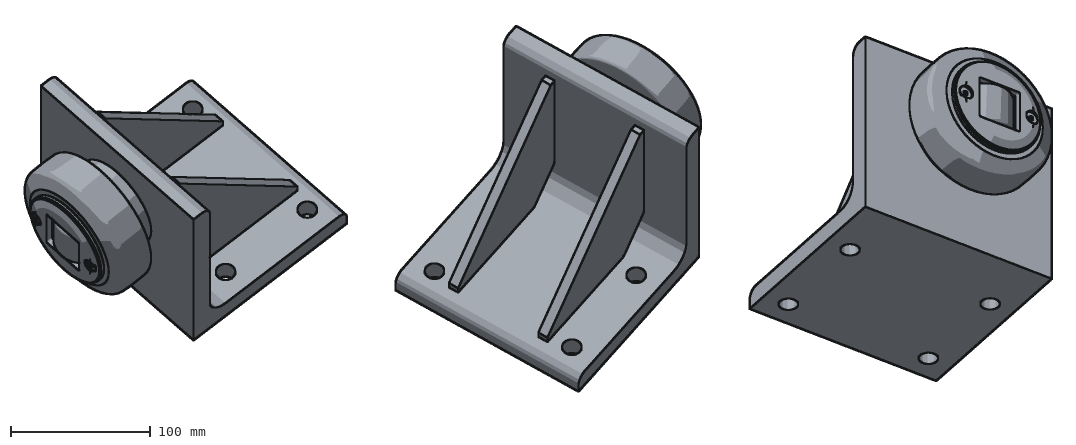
import cadquery as cq
import math

bracket_width = 160.0
leg_length = 150.0
leg_thickness = 16.0
inner_radius = leg_thickness
toe_radius = leg_thickness / 2

bolt_hole_diameter = 14.0
bolt_spacing_x = 120.0
bolt_spacing_y = 80.0
bolt_first_y = 50.0

rib_thickness = 8.0
rib_gap = 70.0
rib_reach = 136.0
rib_edge_height = 5.0
rib_corner_cut = 25.5

axis_height = 90.0
hub_diameter = 71.5
hub_neck_diameter = 70.5
hub_neck_depth = 14.5
wheel_diameter = 108.2
wheel_back = 15.4
wheel_back_round = 2.7
wheel_crown = 0.5
wheel_shoulder = 38.5
taper_start_depth = 42.8
taper_start_diameter = 101.9
wheel_front = 46.7
wheel_front_diameter = 82.5
cap_diameter = 74.0
cap_groove_diameter = 71.0
cap_back = 47.3
cap_rim_front = 50.0
cap_shoulder = 51.2
cap_shoulder_diameter = 72.1
cap_front = 53.3
cap_front_diameter = 59.5

total_depth = 205 - leg_length
window_size = 34.5
window_corner_radius = 1.2
window_depth = 5.5
roller_diameter = 41.0
roller_length = 33.2
roller_round = 2.9

screw_spacing = 56.4
screw_recess_diameter = 10.5
screw_recess_depth = 1.6
screw_socket_diameter = 3.3
screw_socket_depth = 2.0

overlap = 2.0


def make_bracket():
    """L section with rounded toes and a rounded inner corner."""
    section = (
        cq.Workplane("YZ")
        .polyline([
            (0, 0),
            (leg_length, 0),
            (leg_length, leg_thickness),
            (leg_thickness, leg_thickness),
            (leg_thickness, leg_length),
            (0, leg_length),
        ])
        .close()
        .extrude(bracket_width / 2, both=True)
    )
    span = bracket_width
    near = 0.2

    def edge_at(y, z):
        return cq.selectors.BoxSelector(
            (-span, y - near, z - near),
            (span, y + near, z + near),
        )

    body = section.edges(edge_at(leg_thickness, leg_thickness)).fillet(inner_radius)
    body = body.edges(edge_at(leg_length, leg_thickness)).fillet(toe_radius)
    body = body.edges(edge_at(leg_thickness, leg_length)).fillet(toe_radius)
    bolt_holes = (
        cq.Workplane("XY")
        .center(0, bolt_first_y + bolt_spacing_y / 2)
        .rarray(bolt_spacing_x, bolt_spacing_y, 2, 2)
        .circle(bolt_hole_diameter / 2)
        .extrude(leg_thickness)
    )
    return body.cut(bolt_holes)


def make_rib(x_start):
    """Triangular web whose inner corner clears the bracket fillet."""
    edge = leg_thickness + rib_edge_height
    cut_end = leg_thickness + rib_corner_cut
    return (
        cq.Workplane("YZ", origin=(x_start, 0, 0))
        .polyline([
            (cut_end, leg_thickness),
            (rib_reach, leg_thickness),
            (rib_reach, edge),
            (edge, rib_reach),
            (leg_thickness, rib_reach),
            (leg_thickness, cut_end),
        ])
        .close()
        .extrude(rib_thickness)
    )


def make_bearing():
    """Hub, crowned wheel and cap as one body of revolution about Y."""
    wheel_radius = wheel_diameter / 2
    edge_radius = wheel_radius - wheel_crown
    back_mid = wheel_back_round * (1 - math.sqrt(0.5))
    crown_mid = (wheel_back + wheel_back_round + wheel_shoulder) / 2
    nose_end = (taper_start_diameter / 2, -taper_start_depth)
    return (
        cq.Workplane("XY", origin=(0, 0, axis_height))
        .moveTo(0, overlap)
        .lineTo(hub_diameter / 2, overlap)
        .lineTo(hub_diameter / 2, -hub_neck_depth)
        .lineTo(hub_neck_diameter / 2, -hub_neck_depth)
        .lineTo(hub_neck_diameter / 2, -wheel_back)
        .lineTo(edge_radius - wheel_back_round, -wheel_back)
        .threePointArc(
            (edge_radius - back_mid, -wheel_back - back_mid),
            (edge_radius, -wheel_back - wheel_back_round),
        )
        .threePointArc((wheel_radius, -crown_mid), (edge_radius, -wheel_shoulder))
        .tangentArcPoint(nose_end, relative=False)
        .lineTo(wheel_front_diameter / 2, -wheel_front)
        .lineTo(cap_groove_diameter / 2, -wheel_front)
        .lineTo(cap_groove_diameter / 2, -cap_back)
        .lineTo(cap_diameter / 2, -cap_back)
        .lineTo(cap_diameter / 2, -cap_rim_front)
        .lineTo(cap_shoulder_diameter / 2, -cap_shoulder)
        .lineTo(cap_front_diameter / 2, -cap_front)
        .lineTo(0, -cap_front)
        .close()
        .revolve(360, (0, 0, 0), (0, 1, 0))
    )


def cap_plane(depth):
    """Forward-facing plane on the bearing axis at the given depth."""
    return cq.Workplane("XZ", origin=(0, -depth, axis_height))


def make_window():
    """Square pocket that holds the guide roller."""
    return (
        cap_plane(cap_front - window_depth)
        .rect(window_size, window_size)
        .extrude(window_depth)
        .edges("|Y")
        .fillet(window_corner_radius)
    )


def make_roller():
    """Roller with rounded ends, its rear part sunk below the pocket floor."""
    roller_y = -total_depth + roller_diameter / 2
    return (
        cq.Workplane("XY", origin=(0, roller_y, axis_height - roller_length / 2))
        .circle(roller_diameter / 2)
        .extrude(roller_length)
        .edges()
        .fillet(roller_round)
    )


def make_screw_recesses():
    """Counterbores with a small socket in each floor."""
    socket_bottom = cap_front - screw_recess_depth - screw_socket_depth
    centres = [(-screw_spacing / 2, 0), (screw_spacing / 2, 0)]
    recesses = (
        cap_plane(cap_front - screw_recess_depth)
        .pushPoints(centres)
        .circle(screw_recess_diameter / 2)
        .extrude(screw_recess_depth)
    )
    sockets = (
        cap_plane(socket_bottom)
        .pushPoints(centres)
        .circle(screw_socket_diameter / 2)
        .extrude(screw_recess_depth + screw_socket_depth)
    )
    return recesses.union(sockets)


result = make_bracket()
for rib_start in (-rib_gap / 2 - rib_thickness, rib_gap / 2):
    result = result.union(make_rib(rib_start))
bearing = make_bearing().cut(make_window()).cut(make_screw_recesses())
result = result.union(bearing).union(make_roller())